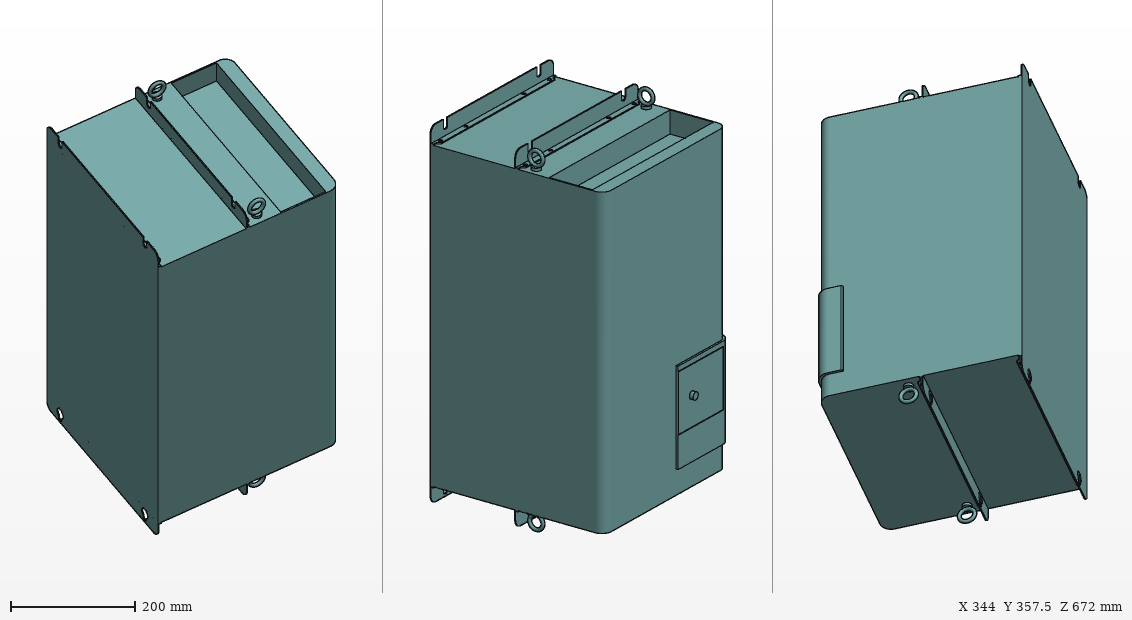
import cadquery as cq

body_width = 340.0
body_depth = 345.0
body_height = 599.5
rear_radius = 19.0
half_width = body_width / 2
half_height = body_height / 2

recess_wall = 3.0
recess_front = 234.0
recess_rear = 319.0
recess_depth = 42.0

sheet = 2.0
plate_height = 663.0
plate_radius = 13.5
bracket_front = 167.0
flange_depth = 13.5
flange_end_depth = 7.0
flange_end_length = 8.0
flange_slant_length = 5.0
flange_hole_diameter = 7.0
flange_hole_offset = 7.5
flange_hole_positions = (-151.0, -80.5, 80.5, 151.0)

slot_spacing = 259.5
slot_width = 11.5
slot_depth = 19.0
keyhole_diameter = 19.0
keyhole_height = 20.0
keyhole_tail_width = 9.5
keyhole_tail_drop = 11.5

overall_height = 672.0
eye_spacing = 305.0
eye_y = 197.5
eye_ring_diameter = 33.0
eye_wire_diameter = 7.0
eye_collar_diameter = 17.0
eye_collar_height = 5.5

cover_thickness = 4.0
cover_bottom = -253.5
cover_top = -72.0
cover_front = 302.5
cover_right = -28.0
cover_bevel = 3.0
cover_radius = 21.0
pad_thickness = 1.5
pad_bottom = -192.0
pad_top = -81.0

overall_depth = 357.5
knob_diameter = 14.0
knob_x = -65.0
knob_z = -135.0


def make_box(x_range, y_range, z_range):
    """Box spanning the given (low, high) limits along each axis."""
    size = [high - low for low, high in (x_range, y_range, z_range)]
    corner = (x_range[0], y_range[0], z_range[0])
    return cq.Workplane("XY").box(*size, centered=False).translate(corner)


def make_body():
    body = make_box((-half_width, half_width), (0, body_depth), (-half_height, half_height))
    body = body.edges("|Z and >Y").fillet(rear_radius)
    recess = make_box(
        (-half_width + recess_wall, half_width - recess_wall),
        (recess_front, recess_rear),
        (half_height - recess_depth, half_height),
    )
    return body.cut(recess)


def make_plate(front):
    """Full-height mounting sheet with rounded corners, slots and keyholes."""
    half_plate = plate_height / 2
    plate = make_box((-half_width, half_width), (front, front + sheet), (-half_plate, half_plate))
    plate = plate.edges("|Y").fillet(plate_radius)

    slots = (
        cq.Workplane("XZ", origin=(0, front + sheet, half_plate))
        .rarray(slot_spacing, 7, 2, 1)
        .slot2D(2 * slot_depth, slot_width, 90)
        .extrude(sheet)
    )
    keyhole_plane = cq.Workplane("XZ", origin=(0, front + sheet, keyhole_height - half_plate))
    heads = keyhole_plane.rarray(slot_spacing, 7, 2, 1).circle(keyhole_diameter / 2).extrude(sheet)
    tails = (
        keyhole_plane.rarray(slot_spacing, 7, 2, 1)
        .slot2D(2 * keyhole_tail_drop + keyhole_tail_width, keyhole_tail_width, 90)
        .extrude(sheet)
    )
    return plate.cut(slots).cut(heads).cut(tails)


def make_flange(front):
    """Foot of a bracket lying on the top face, narrowed at its ends and drilled."""
    slant_start = half_width - flange_end_length
    slant_end = slant_start - flange_slant_length
    flange = (
        cq.Workplane("XY", origin=(0, front, half_height))
        .lineTo(half_width, 0)
        .lineTo(half_width, flange_end_depth)
        .lineTo(slant_start, flange_end_depth)
        .lineTo(slant_end, flange_depth)
        .lineTo(0, flange_depth)
        .mirrorY()
        .extrude(sheet)
    )
    holes = (
        cq.Workplane("XY", origin=(0, front + flange_hole_offset, half_height))
        .pushPoints([(x, 0) for x in flange_hole_positions])
        .circle(flange_hole_diameter / 2)
        .extrude(sheet)
    )
    return flange.cut(holes)


def make_lifting_eye(x):
    """Ring in the YZ plane standing on a round collar on the top face."""
    ring_centre = cq.Vector(x, eye_y, (overall_height - eye_ring_diameter) / 2)
    wire_radius = eye_wire_diameter / 2
    ring = cq.Solid.makeTorus(
        eye_ring_diameter / 2 - wire_radius, wire_radius, ring_centre, cq.Vector(1, 0, 0)
    )
    collar = (
        cq.Workplane("XY", origin=(x, eye_y, half_height))
        .circle(eye_collar_diameter / 2)
        .extrude(eye_collar_height)
    )
    return collar.union(cq.Workplane(obj=ring))


def make_top_fittings():
    """Flanges and lifting eyes on the top face."""
    fittings = [make_flange(front) for front in (0, bracket_front)]
    fittings += [make_lifting_eye(side * eye_spacing / 2) for side in (-1, 1)]
    return fittings


def make_cover():
    """Cover standing proud of the rear left corner, with a raised pad and a knob."""
    left = -half_width - cover_thickness
    rear = body_depth + cover_thickness
    cover = make_box((left, cover_right), (cover_front, rear), (cover_bottom, cover_top))
    cover = cover.edges("|Z and >Y and <X").fillet(cover_radius)
    cover = cover.edges("|Z and <Y and <X").chamfer(cover_bevel)

    pad = make_box((left + cover_radius, cover_right), (rear, rear + pad_thickness), (pad_bottom, pad_top))
    knob = (
        cq.Workplane("XZ", origin=(knob_x, overall_depth, knob_z))
        .circle(knob_diameter / 2)
        .extrude(overall_depth - rear)
    )
    return cover.union(pad).union(knob)


result = make_body().union(make_cover())
for plate_front in (0, bracket_front):
    result = result.union(make_plate(plate_front))
for fitting in make_top_fittings():
    result = result.union(fitting).union(fitting.mirror("XY"))
result = result.clean()